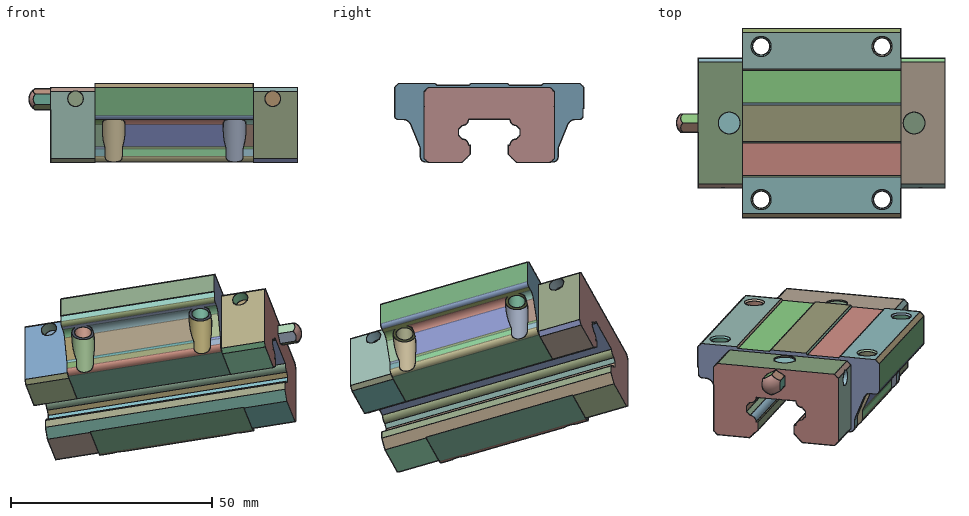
import cadquery as cq
import math

TOTAL_LENGTH = 66.7
BODY_WIDTH = 47.0
BODY_TOP = 19.7
BODY_LENGTH = 39.3
CAP_LENGTH = 11.0
EDGE_CHAMFER = 1.0

BODY_BOTTOM = 0.15
FLANGE_BOTTOM = 10.7
FLANGE_FILLET = 1.0
LEG_HALF_WIDTH = 17.15
LEG_TOP = 3.7
LEG_FILLET = 1.4
LEG_BEND_FILLET = 1.7
SLOPE_TOP_HALF_WIDTH = 20.0
SLOPE_FILLET = 2.0
FLANK_STEP = 0.2
FLANK_STEP_TOP = 13.4

CHANNEL_DEPTH = 0.4
CHANNEL_INNER = 4.55
CHANNEL_OUTER = 13.4

HOLE_PITCH_X = 30.0
HOLE_PITCH_Y = 38.0
HOLE_DIAMETER = 4.2
HOLE_MOUTH_DIAMETER = 5.0
RELIEF_DIAMETER = 5.7

CAP_WIDTH = 32.3
CAP_TOP = 18.7
SIDE_HOLE_X = 24.5
SIDE_HOLE_Z = 15.9
SIDE_HOLE_DIAMETER = 3.9
SIDE_HOLE_DEPTH = 3.0
TOP_RECESS_X = 22.95
TOP_RECESS_DIAMETER = 5.4
TOP_RECESS_DEPTH = 0.35

PASSAGE_TOP = 10.75
THROAT_HALF_WIDTH = 4.7
THROAT_BOTTOM = 2.15
THROAT_TOP = 4.35
LIP_RADIUS = 1.55
LIP_CENTRE_Y = 6.7
GROOVE_HALF_WIDTH = 7.6
UPPER_LIP_BOTTOM = PASSAGE_TOP - LIP_RADIUS
LOWER_LIP_TOP = THROAT_TOP + LIP_RADIUS

NIPPLE_FLATS = 4.6
NIPPLE_Z = 15.75
NIPPLE_NOSE_RADIUS = 3.0

CAP_END = BODY_LENGTH / 2 + CAP_LENGTH
NIPPLE_LENGTH = TOTAL_LENGTH - 2 * CAP_END


def make_body():
    """Flanged block, symmetric but for a shallow step in the +Y flank."""
    half_width = BODY_WIDTH / 2
    plain_half = (
        cq.Workplane("YZ")
        .moveTo(0, BODY_BOTTOM)
        .lineTo(LEG_HALF_WIDTH, BODY_BOTTOM)
        .lineTo(LEG_HALF_WIDTH, LEG_TOP)
        .lineTo(SLOPE_TOP_HALF_WIDTH, FLANGE_BOTTOM)
        .lineTo(half_width, FLANGE_BOTTOM)
        .lineTo(half_width, BODY_TOP)
        .lineTo(0, BODY_TOP)
        .close()
        .extrude(BODY_LENGTH / 2, both=True)
    )
    flank_step = (
        cq.Workplane("XY", origin=(0, half_width - FLANK_STEP, FLANGE_BOTTOM))
        .box(BODY_LENGTH, FLANK_STEP, FLANK_STEP_TOP - FLANGE_BOTTOM, centered=(True, False, False))
    )

    def finish_edges(side, flange_edge):
        """Round the leg and flange edges of one half and chamfer its top edge."""
        side = round_edge(side, LEG_HALF_WIDTH, BODY_BOTTOM, LEG_FILLET)
        side = round_edge(side, LEG_HALF_WIDTH, LEG_TOP, LEG_BEND_FILLET)
        side = round_edge(side, SLOPE_TOP_HALF_WIDTH, FLANGE_BOTTOM, SLOPE_FILLET)
        side = round_edge(side, flange_edge, FLANGE_BOTTOM, FLANGE_FILLET)
        return side.edges(cq.NearestToPointSelector((0, half_width, BODY_TOP))).chamfer(EDGE_CHAMFER)

    stepped_side = finish_edges(plain_half.cut(flank_step), half_width - FLANK_STEP)
    plain_side = finish_edges(plain_half, half_width).mirror("XZ")
    return stepped_side.union(plain_side)


def round_edge(solid, y, z, radius):
    """Fillet the lengthwise edge that passes through (y, z)."""
    return solid.edges(cq.NearestToPointSelector((0, y, z))).fillet(radius)


def make_top_channel(side):
    """Channel with 45 degree walls, on the +Y (side=1) or -Y (side=-1) half."""
    floor = BODY_TOP - CHANNEL_DEPTH
    outline = [
        (CHANNEL_INNER, BODY_TOP),
        (CHANNEL_INNER + CHANNEL_DEPTH, floor),
        (CHANNEL_OUTER - CHANNEL_DEPTH, floor),
        (CHANNEL_OUTER, BODY_TOP),
    ]
    return (
        cq.Workplane("YZ")
        .polyline([(side * y, z) for y, z in outline])
        .close()
        .extrude(BODY_LENGTH / 2, both=True)
    )


def make_mounting_holes():
    """Through holes with a chamfered mouth and a wider relief below the flange."""
    radius = HOLE_DIAMETER / 2
    mouth_radius = HOLE_MOUTH_DIAMETER / 2
    relief_radius = RELIEF_DIAMETER / 2
    cutter = (
        cq.Workplane("XZ")
        .polyline([
            (0, 0),
            (relief_radius, 0),
            (relief_radius, FLANGE_BOTTOM),
            (radius, FLANGE_BOTTOM),
            (radius, BODY_TOP - (mouth_radius - radius)),
            (mouth_radius, BODY_TOP),
            (0, BODY_TOP),
        ])
        .close()
        .revolve(360, (0, 0), (0, 1))
    )
    holes = cq.Workplane("XY")
    for x in (-HOLE_PITCH_X / 2, HOLE_PITCH_X / 2):
        for y in (-HOLE_PITCH_Y / 2, HOLE_PITCH_Y / 2):
            holes = holes.add(cutter.translate((x, y, 0)))
    return holes.combine()


def make_cap(side):
    """End cap at the +X (side=1) or -X (side=-1) end, with its blind recesses."""
    cap = (
        cq.Workplane("XY")
        .box(CAP_LENGTH, CAP_WIDTH, CAP_TOP, centered=(True, True, False))
        .edges("|X")
        .chamfer(EDGE_CHAMFER)
        .translate((side * (CAP_END - CAP_LENGTH / 2), 0, 0))
    )
    side_hole = (
        cq.Workplane("XZ", origin=(side * SIDE_HOLE_X, -CAP_WIDTH / 2, SIDE_HOLE_Z))
        .circle(SIDE_HOLE_DIAMETER / 2)
        .extrude(-SIDE_HOLE_DEPTH)
    )
    top_recess = (
        cq.Workplane("XY", origin=(side * TOP_RECESS_X, 0, CAP_TOP))
        .circle(TOP_RECESS_DIAMETER / 2)
        .extrude(-TOP_RECESS_DEPTH)
    )
    return cap.cut(side_hole).cut(side_hole.mirror("XZ")).cut(top_recess)


def make_rail_passage():
    """Rail opening, with a pair of grooves between rounded lips, the full length."""
    lip_edge = LIP_CENTRE_Y - LIP_RADIUS
    diagonal = LIP_RADIUS * math.sqrt(0.5)
    groove_chamfer = GROOVE_HALF_WIDTH - LIP_CENTRE_Y
    positive_half = (
        cq.Workplane("YZ")
        .moveTo(0, PASSAGE_TOP)
        .lineTo(lip_edge, PASSAGE_TOP)
        .threePointArc(
            (LIP_CENTRE_Y - diagonal, PASSAGE_TOP - diagonal),
            (LIP_CENTRE_Y, UPPER_LIP_BOTTOM),
        )
        .lineTo(GROOVE_HALF_WIDTH, UPPER_LIP_BOTTOM - groove_chamfer)
        .lineTo(GROOVE_HALF_WIDTH, LOWER_LIP_TOP + groove_chamfer)
        .lineTo(LIP_CENTRE_Y, LOWER_LIP_TOP)
        .threePointArc(
            (LIP_CENTRE_Y - diagonal, THROAT_TOP + diagonal),
            (lip_edge, THROAT_TOP),
        )
        .lineTo(THROAT_HALF_WIDTH, THROAT_TOP)
        .lineTo(THROAT_HALF_WIDTH, THROAT_BOTTOM)
        .lineTo(THROAT_HALF_WIDTH + THROAT_BOTTOM, 0)
        .lineTo(0, 0)
        .close()
        .extrude(CAP_END, both=True)
    )
    return positive_half.union(positive_half.mirror("XZ"))


def make_nipple():
    """Hexagonal grease nipple with a spherical nose, corners up and down."""
    tip_x = -CAP_END - NIPPLE_LENGTH
    hexagon = (
        cq.Workplane("YZ", origin=(tip_x, 0, NIPPLE_Z))
        .polygon(6, NIPPLE_FLATS, circumscribed=True)
        .extrude(NIPPLE_LENGTH)
    )
    nose_diagonal = NIPPLE_NOSE_RADIUS * math.sqrt(0.5)
    nose = (
        cq.Workplane("XY", origin=(tip_x, 0, NIPPLE_Z))
        .threePointArc(
            (NIPPLE_NOSE_RADIUS - nose_diagonal, nose_diagonal),
            (NIPPLE_NOSE_RADIUS, NIPPLE_NOSE_RADIUS),
        )
        .lineTo(NIPPLE_LENGTH, NIPPLE_NOSE_RADIUS)
        .lineTo(NIPPLE_LENGTH, 0)
        .close()
        .revolve(360, (0, 0), (1, 0))
    )
    return hexagon.intersect(nose)


body = make_body().cut(make_mounting_holes())
for side in (-1, 1):
    body = body.cut(make_top_channel(side))
    body = body.union(make_cap(side))

result = body.cut(make_rail_passage()).union(make_nipple())